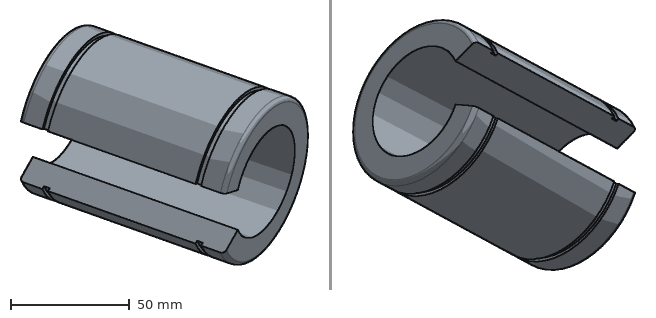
import cadquery as cq
import math

length = 100.0
outer_diameter = 75.0
bore_diameter = 50.0
slot_angle = 50.0
edge_radius = 2.0
groove_diameter = 72.0
groove_width = 2.7
groove_span = 77.4


def sleeve():
    """Tube with rounded outer end edges."""
    body = cq.Workplane("YZ").circle(outer_diameter / 2).extrude(length / 2, both=True)
    body = body.edges("%CIRCLE").fillet(edge_radius)
    bore = cq.Workplane("YZ").circle(bore_diameter / 2).extrude(length / 2, both=True)
    return body.cut(bore)


def ring_groove(start_x):
    """Ring of material removed for a retaining ring, from start_x toward +X."""
    return (
        cq.Workplane("YZ", origin=(start_x, 0, 0))
        .circle(outer_diameter)
        .circle(groove_diameter / 2)
        .extrude(groove_width)
    )


def slot_wedge():
    """Wedge from the axis, reaching past the outer surface on the -Y side."""
    reach = outer_diameter
    half_opening = reach * math.tan(math.radians(slot_angle / 2))
    return (
        cq.Workplane("YZ")
        .polyline([(0, 0), (-reach, half_opening), (-reach, -half_opening)])
        .close()
        .extrude(length / 2, both=True)
    )


result = sleeve()
for groove_start in (-groove_span / 2, groove_span / 2 - groove_width):
    result = result.cut(ring_groove(groove_start))
result = result.cut(slot_wedge())